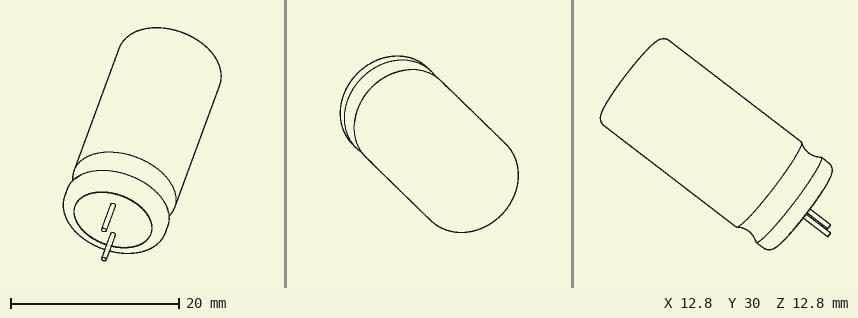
import cadquery as cq

overall_length = 30.0

can_diameter = 12.75
can_radius = can_diameter / 2
can_length = 26.0
edge_radius = 1.0

groove_start = 2.1
groove_width = 3.0
groove_depth = 0.5
groove_end = groove_start + groove_width
groove_middle = groove_start + groove_width / 2

seal_radius = 4.8
seal_recess = 0.1

lead_radius = 0.3
lead_spacing = 5.28
lead_length = overall_length - can_length


def make_can():
    """Revolve the half outline of the can about the Y axis, then round both end edges."""
    outline = (
        cq.Workplane("XY")
        .lineTo(can_radius, 0)
        .lineTo(can_radius, groove_start)
        .threePointArc((can_radius - groove_depth, groove_middle), (can_radius, groove_end))
        .lineTo(can_radius, can_length)
        .lineTo(0, can_length)
        .close()
    )
    can = outline.revolve(360, (0, 0, 0), (0, 1, 0))
    return can.faces("<Y or >Y").edges().fillet(edge_radius)


def make_seal_recess():
    """Shallow disc that exposes the seal face below the rim."""
    return cq.Workplane("XZ").circle(seal_radius).extrude(-seal_recess)


def make_leads():
    """Two straight round wires running from the seal face out to -Y."""
    return (
        cq.Workplane("XZ", origin=(0, seal_recess, 0))
        .pushPoints([(0, -lead_spacing / 2), (0, lead_spacing / 2)])
        .circle(lead_radius)
        .extrude(lead_length + seal_recess)
    )


result = make_can().cut(make_seal_recess()).union(make_leads())